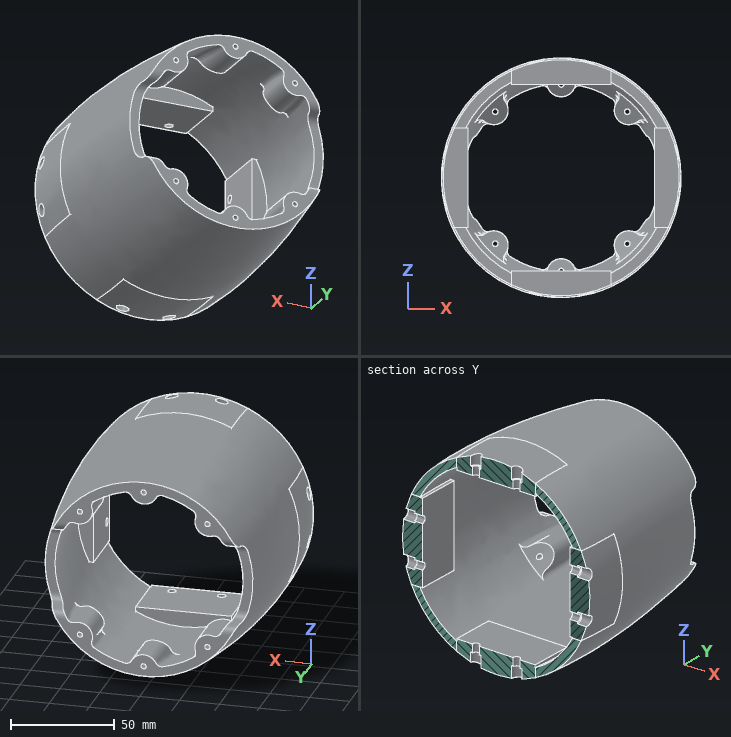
import cadquery as cq
import math

LENGTH = 105.0
FRONT_RADIUS = 57.2
MAX_RADIUS = 58.1
MAX_RADIUS_AT = 25.6
REAR_RADIUS = 55.8
REAR_RADIUS_AT = 66.8
BACK_RADIUS = 50.5
WALL = 5.0

OPENING_HALF_HEIGHT = 20.0
OPENING_FILLET = 5.0
OPENING_DEPTH = 2 * OPENING_FILLET

LUG_ANGLES = (45, 90, 135, 225, 270, 315)
LUG_RADIUS = 7.0
LUG_ROUND_AT = 46.1
LUG_HOLE_CIRCLE_RADIUS = 45.2
LUG_HOLE_RADIUS = 1.3
LUG_ROOT_FILLET = 3.0
LUG_TIP_LENGTH = 20.0
LUG_SLOPE = 37

PLATE_COUNT = 4
PLATE_WIDTH = 48.1
PLATE_LENGTH = 30.0
PLATE_FLAT = 45.1
SCREW_SPACING = 25.0
SCREW_SETBACK = 5.0
SCREW_HOLE_RADIUS = 2.0
SCREW_HEAD_RADIUS = 3.0
SCREW_SEAT = 50.0

BEYOND = 2 * MAX_RADIUS
PLATE_ANGLES = [i * 360 / PLATE_COUNT for i in range(PLATE_COUNT)]


def turned(body, angle):
    """Turn a body about the Y axis, from +Z toward +X."""
    return body.rotate((0, 0, 0), (0, 1, 0), angle)


def revolved(profile):
    """Revolve a closed XY profile about the Y axis."""
    return profile.revolve(360, (0, 0, 0), (0, 1, 0))


def barrel(inset=0.0):
    """Solid barrel with every radius of the outer surface reduced by inset."""
    curve = [
        (FRONT_RADIUS - inset, 0),
        (MAX_RADIUS - inset, MAX_RADIUS_AT),
        (REAR_RADIUS - inset, REAR_RADIUS_AT),
        (BACK_RADIUS - inset, LENGTH),
    ]
    profile = cq.Workplane("XY").lineTo(*curve[0]).spline(curve[1:], includeCurrent=True)
    return revolved(profile.lineTo(0, LENGTH).close())


def lug_cone_cutter():
    """Solid of revolution ahead of the conical front faces of the lugs."""
    tip = LUG_ROUND_AT - LUG_RADIUS
    tip_y = LENGTH - LUG_TIP_LENGTH
    cone_end_y = tip_y - (MAX_RADIUS - tip) * math.tan(math.radians(LUG_SLOPE))
    profile = (
        cq.Workplane("XY")
        .lineTo(MAX_RADIUS, 0)
        .lineTo(MAX_RADIUS, cone_end_y)
        .lineTo(tip, tip_y)
        .lineTo(0, tip_y)
        .close()
    )
    return revolved(profile)


def lug_rib():
    """Lug at +Z with a round inner edge, its outer side buried in the wall."""
    block = (
        cq.Workplane("XZ")
        .moveTo(-LUG_RADIUS, BEYOND)
        .lineTo(-LUG_RADIUS, LUG_ROUND_AT)
        .threePointArc((0, LUG_ROUND_AT - LUG_RADIUS), (LUG_RADIUS, LUG_ROUND_AT))
        .lineTo(LUG_RADIUS, BEYOND)
        .close()
        .extrude(-LENGTH)
    )
    return block.intersect(barrel(WALL / 2)).cut(lug_cone_cutter())


def is_lug_root(edge):
    """True for the curved edges where the sides of a lug meet the bore."""
    middle = edge.Center()
    beside_lug = middle.y > LENGTH - LUG_TIP_LENGTH
    near_bore = math.hypot(middle.x, middle.z) > LUG_HOLE_CIRCLE_RADIUS
    return edge.geomType() == "BSPLINE" and beside_lug and near_bore


def opening_cutter():
    """Prism along X that cuts both openings in the back edge."""
    corner = OPENING_FILLET
    side = OPENING_HALF_HEIGHT
    middle = LENGTH - OPENING_FILLET
    floor = LENGTH - OPENING_DEPTH
    return (
        cq.Workplane("YZ")
        .moveTo(LENGTH, -side - corner)
        .radiusArc((middle, -side), -corner)
        .radiusArc((floor, -side + corner), corner)
        .lineTo(floor, side - corner)
        .radiusArc((middle, side), corner)
        .radiusArc((LENGTH, side + corner), -corner)
        .close()
        .extrude(BEYOND, both=True)
    )


def plate_blank(inner_face):
    """Block at +Z with a plate's outline, from inner_face out past the sleeve."""
    return (
        cq.Workplane("XY", origin=(0, PLATE_LENGTH / 2, inner_face))
        .rect(PLATE_WIDTH, PLATE_LENGTH)
        .extrude(BEYOND)
    )


def make_sleeve():
    rib = lug_rib()
    hole = (
        cq.Workplane("XZ")
        .center(0, LUG_HOLE_CIRCLE_RADIUS)
        .circle(LUG_HOLE_RADIUS)
        .extrude(-LENGTH)
    )
    window = plate_blank(0)

    sleeve = barrel().cut(barrel(WALL))
    for angle in LUG_ANGLES:
        sleeve = sleeve.union(turned(rib, 90 - angle))
    sleeve = sleeve.edges().filter(is_lug_root).fillet(LUG_ROOT_FILLET)
    for angle in LUG_ANGLES:
        sleeve = sleeve.cut(turned(hole, 90 - angle))

    sleeve = sleeve.cut(opening_cutter())
    for angle in PLATE_ANGLES:
        sleeve = sleeve.cut(turned(window, angle))
    return sleeve


def make_plate():
    """Plate at +Z, flush with the outside of the sleeve, with two counterbored screw holes."""
    screw_places = [(side * SCREW_SPACING / 2, SCREW_SETBACK) for side in (-1, 1)]
    axis_plane = cq.Workplane("XY")
    seat_plane = cq.Workplane("XY", origin=(0, 0, SCREW_SEAT))
    holes = axis_plane.pushPoints(screw_places).circle(SCREW_HOLE_RADIUS).extrude(BEYOND)
    heads = seat_plane.pushPoints(screw_places).circle(SCREW_HEAD_RADIUS).extrude(BEYOND)
    return plate_blank(PLATE_FLAT).intersect(barrel()).cut(holes).cut(heads)


sleeve = make_sleeve()
top_plate = make_plate()
plates = [turned(top_plate, angle) for angle in PLATE_ANGLES]

result = cq.Compound.makeCompound([sleeve.val(), *[plate.val() for plate in plates]])